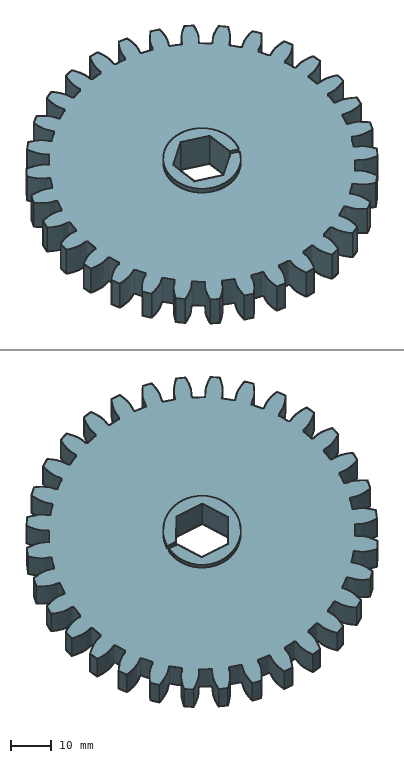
import cadquery as cq
import math

tooth_count = 32
tip_diameter = 86.4
pressure_angle = math.radians(14.5)
root_diameter = 75.05
root_fillet = 0.35
gear_thickness = 9.5

hub_diameter = 19.1
hub_height = 1.55
hex_sides = 6
hex_across_flats = 12.8
slot_width = 0.8

module = tip_diameter / (tooth_count + 2)
tip_radius = tip_diameter / 2
pitch_radius = module * tooth_count / 2
base_radius = pitch_radius * math.cos(pressure_angle)
root_radius = root_diameter / 2

tooth_pitch = 2 * math.pi / tooth_count
flank_point_count = 5
total_height = gear_thickness + hub_height


def polar(radius, angle):
    return (radius * math.cos(angle), radius * math.sin(angle))


def involute_function(angle):
    return math.tan(angle) - angle


def half_tooth_angle(radius):
    """Half the angle a tooth spans at a radius on the involute flank."""
    at_pitch = tooth_pitch / 4 + involute_function(pressure_angle)
    return at_pitch - involute_function(math.acos(base_radius / radius))


def flank_points(tooth_angle, side):
    """Involute points from the base circle to the tip; side is -1 or +1."""
    points = []
    radius_step = (tip_radius - base_radius) / (flank_point_count - 1)
    for i in range(flank_point_count):
        radius = base_radius + i * radius_step
        points.append(polar(radius, tooth_angle + side * half_tooth_angle(radius)))
    return points


def is_root_corner(edge):
    """True for the upright edges where the flanks meet the root circle."""
    middle = edge.Center()
    return math.hypot(middle.x, middle.y) < (root_radius + base_radius) / 2


def make_gear():
    """Toothed disc: involute flanks, radial below the base circle, filleted roots."""
    base_half_angle = half_tooth_angle(base_radius)
    outline = cq.Workplane("XY").moveTo(*polar(root_radius, -base_half_angle))
    for tooth in range(tooth_count):
        center = tooth * tooth_pitch
        rising = flank_points(center, -1)
        falling = flank_points(center, 1)[::-1]
        outline = outline.lineTo(*rising[0])
        outline = outline.spline(rising[1:], includeCurrent=True)
        outline = outline.threePointArc(polar(tip_radius, center), falling[0])
        outline = outline.spline(falling[1:], includeCurrent=True)
        outline = outline.lineTo(*polar(root_radius, center + base_half_angle))
        next_root = polar(root_radius, center + tooth_pitch - base_half_angle)
        outline = outline.threePointArc(polar(root_radius, center + tooth_pitch / 2), next_root)
    gear = outline.close().extrude(gear_thickness)
    return gear.edges("|Z").filter(is_root_corner).fillet(root_fillet)


def make_hub():
    """Low ring standing on the top face of the disc."""
    return (
        cq.Workplane("XY")
        .workplane(offset=gear_thickness)
        .circle(hub_diameter / 2)
        .extrude(hub_height)
    )


def make_hex_bore():
    """Through bore with two corners on the Y axis."""
    across_corners = hex_across_flats / math.cos(math.pi / hex_sides)
    bore = cq.Workplane("XY").polygon(hex_sides, across_corners).extrude(total_height)
    return bore.rotate((0, 0, 0), (0, 0, 1), 180 / hex_sides)


def make_slot():
    """Slot across the +Y side of the hub, as deep as the hub is tall."""
    return (
        cq.Workplane("XY")
        .workplane(offset=gear_thickness)
        .center(0, hub_diameter / 4)
        .rect(slot_width, hub_diameter / 2)
        .extrude(hub_height)
    )


result = make_gear().union(make_hub()).cut(make_hex_bore()).cut(make_slot())